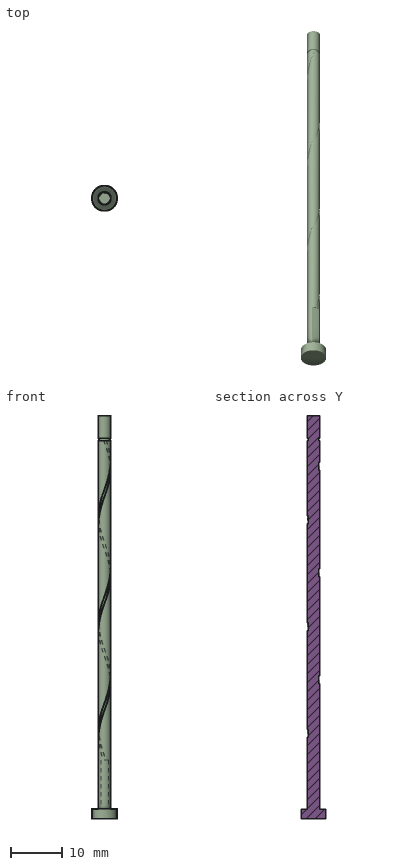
import cadquery as cq

total_length = 79.0
head_diameter = 5.0
head_height = 2.0
shaft_diameter = 2.5

ring_top_drop = 4.4
ring_width = 0.5
groove_depth = 0.15

helix_width = 0.5
helix_turns = 3
helix_pitch = 20.9
flat_depth = 0.2

shaft_radius = shaft_diameter / 2
ring_bottom = total_length - ring_top_drop - ring_width
helix_top = ring_bottom + ring_width / 2
helix_height = helix_turns * helix_pitch
helix_start = helix_top - helix_height
cut_overlap = 0.3


def make_pin():
    head = cq.Workplane("XY").circle(head_diameter / 2).extrude(head_height)
    shaft = cq.Workplane("XY").circle(shaft_radius).extrude(total_length)
    return head.union(shaft)


def make_ring_cutter():
    return (
        cq.Workplane("XY", origin=(0, 0, ring_bottom))
        .circle(shaft_radius + cut_overlap)
        .circle(shaft_radius - groove_depth)
        .extrude(ring_width)
    )


def make_helix_cutter():
    """Right-handed square groove that starts and ends on the +Y side."""
    path = cq.Wire.makeHelix(helix_pitch, helix_height, shaft_radius)
    radial_size = groove_depth + cut_overlap
    radial_center = shaft_radius + (cut_overlap - groove_depth) / 2
    start_plane = cq.Plane(
        origin=(radial_center, 0, 0),
        xDir=(1, 0, 0),
        normal=path.tangentAt(0).toTuple(),
    )
    cutter = (
        cq.Workplane(start_plane)
        .rect(radial_size, helix_width)
        .sweep(cq.Workplane(path), isFrenet=True)
    )
    return cutter.rotate((0, 0, 0), (0, 0, 1), 90).translate((0, 0, helix_start))


def make_flat_cutter():
    flat_height = helix_start - head_height
    return cq.Workplane("XY").box(
        shaft_diameter, shaft_radius, flat_height, centered=(True, False, False)
    ).translate((0, shaft_radius - flat_depth, head_height))


result = (
    make_pin()
    .cut(make_ring_cutter())
    .cut(make_helix_cutter())
    .cut(make_flat_cutter())
)